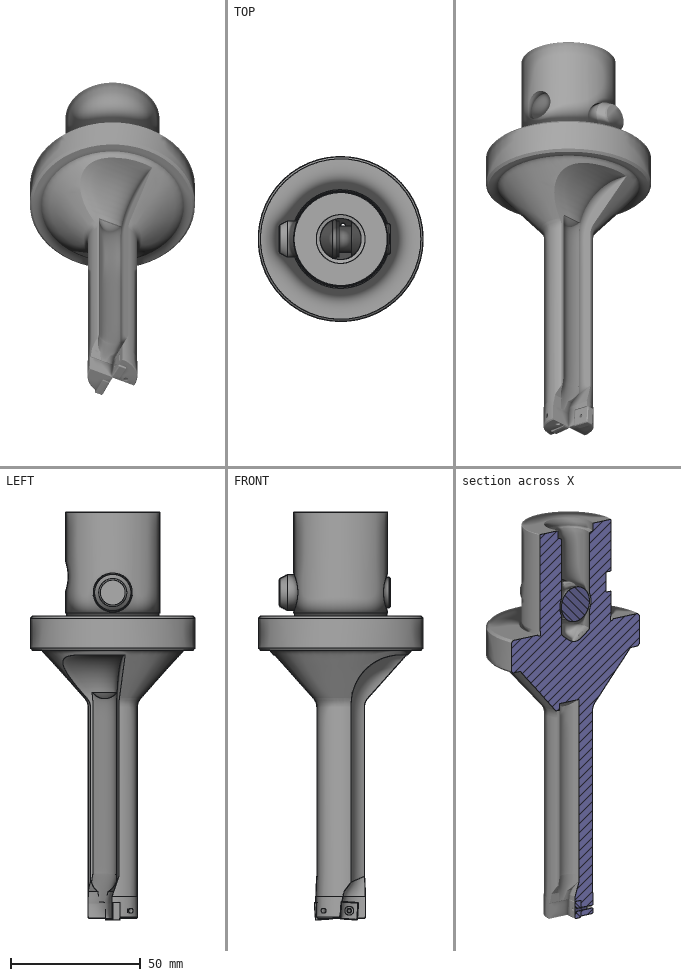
import cadquery as cq
import math

SHANK_RADIUS = 18.1
SHANK_HEIGHT = 40.0
SHANK_CHAMFER = 0.2
RELIEF_RADIUS = 17.8
RELIEF_HEIGHT = 1.2
FACE_GROOVE_RADIUS = 19.0
FACE_GROOVE_DEPTH = 0.5

FLANGE_RADIUS = 31.75
FLANGE_BOTTOM = -13.2
FLANGE_CHAMFER = 0.9

CONE_ANGLE = math.radians(42)
CONE_TOP_RADIUS = 27.4
STEM_RADIUS = 9.5
CONE_FILLET = 5.0

HEAD_RADIUS = 9.6
HEAD_TOP = -108.0
HEAD_BOTTOM = -116.3
HEAD_CHAMFER = 0.4

BORE_RADIUS = 7.9
BORE_MOUTH_RADIUS = 9.4
BORE_MOUTH_DEPTH = 3.1
BORE_STEP_HEIGHT = 0.5
BORE_DEPTH = 42.0
COOLANT_RADIUS = 0.9
COOLANT_X = 0.9
COOLANT_Y = 5.2

PIN_Z = 9.0
PIN_RADIUS = 7.0
CROSS_HOLE_RADIUS = 7.5
PIN_LEFT = -23.7
PIN_RIGHT = 19.1
PIN_TIP_RADIUS = 4.8
PIN_TIP_EDGE = 0.6
PIN_TAPER_LENGTH = 3.3
PIN_RIGHT_RADIUS = 5.9
PIN_RIGHT_STUB = 3.5
PIN_RIGHT_BEVEL = 0.5
PIN_NECK_RADIUS = 5.1
PIN_NECK_START = -0.6
PIN_NECK_END = 4.1
SEAL_CENTER_X = -2.3
SEAL_WIDTH = 1.6

RECESS_RADIUS = 5.7
RECESS_Z = 15.2
RECESS_DEPTH = 3.0

FLUTE_FLOOR_X = 4.03
FLUTE_WALL_Y = 1.6
FLUTE_WALL_SLOPE = 0.15
RUNOUT_RADIUS = 19.0
RUNOUT_CENTER_Z = -34.0
GROOVE_RADIUS = 5.6
GROOVE_X = 7.3
GROOVE_Y = -3.1
GROOVE_TOP = -29.5
WALL_RAMP_TOP = -100.0
GROOVE_BEND_Z = -99.5
GROOVE_DRIFT_Y = -1.0
CHIP_RAMP_TOP = -102.4
CHIP_RAMP_BOTTOM = -106.0
CHIP_FLOOR_X = 1.3
POINT_FLOOR_TOP = -110.7
POINT_FLOOR_X = 0.45
REACH = 60.0

INSERT_SIZE = 6.8
INSERT_THICKNESS = 3.0
INSERT_CORNER = 0.4
INSERT_BEVEL = 0.3
INSERT_TURN = 4.0
INSERT_FACE_Y = -0.3
INNER_INSERT_X = 3.3
OUTER_INSERT_X = 6.55
INSERT_Z = -113.4
SCREW_RADIUS = 0.95
SCREW_HEAD_RADIUS = 1.7
SCREW_HEAD_HEIGHT = 0.9
SCREW_LENGTH = 6.0
SOCKET_RADIUS = 0.8
SOCKET_DEPTH = 0.6


def half_turn(shape):
    return shape.rotate((0, 0, 0), (0, 0, 1), 180)


def holder_blank():
    """Turned outline: shank, neck, flange, cone, stem and head."""
    arc_rise = CONE_FILLET * (1 - math.cos(CONE_ANGLE))
    arc_drop = CONE_FILLET * math.sin(CONE_ANGLE)
    cone_end_radius = STEM_RADIUS + arc_rise
    cone_end_z = FLANGE_BOTTOM - (CONE_TOP_RADIUS - cone_end_radius) / math.tan(CONE_ANGLE)
    half_angle = CONE_ANGLE / 2
    arc_mid = (
        STEM_RADIUS + CONE_FILLET * (1 - math.cos(half_angle)),
        cone_end_z - arc_drop + CONE_FILLET * math.sin(half_angle),
    )
    return (
        cq.Workplane("XZ")
        .moveTo(0, SHANK_HEIGHT)
        .lineTo(SHANK_RADIUS - SHANK_CHAMFER, SHANK_HEIGHT)
        .lineTo(SHANK_RADIUS, SHANK_HEIGHT - SHANK_CHAMFER)
        .lineTo(SHANK_RADIUS, RELIEF_HEIGHT)
        .lineTo(RELIEF_RADIUS, RELIEF_HEIGHT)
        .lineTo(RELIEF_RADIUS, -FACE_GROOVE_DEPTH)
        .lineTo(FACE_GROOVE_RADIUS - FACE_GROOVE_DEPTH, -FACE_GROOVE_DEPTH)
        .lineTo(FACE_GROOVE_RADIUS, 0)
        .lineTo(FLANGE_RADIUS - FLANGE_CHAMFER, 0)
        .lineTo(FLANGE_RADIUS, -FLANGE_CHAMFER)
        .lineTo(FLANGE_RADIUS, FLANGE_BOTTOM + FLANGE_CHAMFER)
        .lineTo(FLANGE_RADIUS - FLANGE_CHAMFER, FLANGE_BOTTOM)
        .lineTo(CONE_TOP_RADIUS, FLANGE_BOTTOM)
        .lineTo(cone_end_radius, cone_end_z)
        .threePointArc(arc_mid, (STEM_RADIUS, cone_end_z - arc_drop))
        .lineTo(STEM_RADIUS, HEAD_TOP)
        .lineTo(HEAD_RADIUS, HEAD_TOP)
        .lineTo(HEAD_RADIUS, HEAD_BOTTOM + HEAD_CHAMFER)
        .lineTo(HEAD_RADIUS - HEAD_CHAMFER, HEAD_BOTTOM)
        .lineTo(0, HEAD_BOTTOM)
        .close()
        .revolve(360, (0, 0, 0), (0, 1, 0))
    )


def bore():
    """Stepped bore from the top with a conical bottom."""
    mouth_z = SHANK_HEIGHT - BORE_MOUTH_DEPTH
    bottom_z = SHANK_HEIGHT - BORE_DEPTH
    return (
        cq.Workplane("XZ")
        .moveTo(0, SHANK_HEIGHT)
        .lineTo(BORE_MOUTH_RADIUS, SHANK_HEIGHT)
        .lineTo(BORE_MOUTH_RADIUS, mouth_z)
        .lineTo(BORE_RADIUS, mouth_z - BORE_STEP_HEIGHT)
        .lineTo(BORE_RADIUS, bottom_z)
        .lineTo(0, bottom_z - BORE_RADIUS)
        .close()
        .revolve(360, (0, 0, 0), (0, 1, 0))
    )


def coolant_hole():
    """Straight hole from the bore to the drill face."""
    return (
        cq.Workplane("XY")
        .workplane(offset=HEAD_BOTTOM)
        .center(COOLANT_X, COOLANT_Y)
        .circle(COOLANT_RADIUS)
        .extrude(-HEAD_BOTTOM)
    )


def cross_hole():
    return (
        cq.Workplane("YZ")
        .center(0, PIN_Z)
        .circle(CROSS_HOLE_RADIUS)
        .extrude(SHANK_RADIUS, both=True)
    )


def locating_recess():
    return (
        cq.Workplane("XZ", origin=(0, SHANK_RADIUS, RECESS_Z))
        .circle(RECESS_RADIUS)
        .extrude(RECESS_DEPTH)
    )


def flute():
    """Straight flute on the +X side with its run-out through the cone."""
    center_x = FLUTE_FLOOR_X + RUNOUT_RADIUS
    arc_offset = RUNOUT_RADIUS * math.sqrt(0.5)
    runout_top = RUNOUT_CENTER_Z + RUNOUT_RADIUS
    side_profile = (
        cq.Workplane("XZ")
        .moveTo(FLUTE_FLOOR_X, RUNOUT_CENTER_Z)
        .threePointArc(
            (center_x - arc_offset, RUNOUT_CENTER_Z + arc_offset),
            (center_x, runout_top),
        )
        .lineTo(REACH, runout_top)
        .lineTo(REACH, 2 * HEAD_BOTTOM)
        .lineTo(POINT_FLOOR_X, 2 * HEAD_BOTTOM)
        .lineTo(POINT_FLOOR_X, POINT_FLOOR_TOP)
        .lineTo(CHIP_FLOOR_X, CHIP_RAMP_BOTTOM)
        .lineTo(FLUTE_FLOOR_X, CHIP_RAMP_TOP)
        .close()
        .extrude(REACH, both=True)
    )

    bend = (GROOVE_X, GROOVE_Y, GROOVE_BEND_Z)
    straight_groove = (
        cq.Workplane("XY", origin=bend)
        .circle(GROOVE_RADIUS)
        .extrude(GROOVE_TOP - GROOVE_BEND_Z)
    )
    groove_floor_x = GROOVE_X - GROOVE_RADIUS
    tilt = cq.Vector(
        POINT_FLOOR_X - groove_floor_x,
        GROOVE_DRIFT_Y,
        POINT_FLOOR_TOP - GROOVE_BEND_Z,
    )
    tilted_groove = cq.Workplane(
        cq.Solid.makeCylinder(GROOVE_RADIUS, tilt.Length, cq.Vector(*bend), tilt)
    )
    above_groove = (
        cq.Workplane("XZ")
        .moveTo(FLUTE_FLOOR_X, GROOVE_TOP)
        .lineTo(FLUTE_FLOOR_X - REACH, GROOVE_TOP - REACH)
        .lineTo(FLUTE_FLOOR_X - REACH, GROOVE_TOP)
        .close()
        .extrude(REACH, both=True)
    )
    straight_groove = straight_groove.cut(above_groove)
    groove = straight_groove.union(tilted_groove)

    leaning_wall = (
        cq.Workplane("XY", origin=(FLUTE_FLOOR_X, FLUTE_WALL_Y, 2 * HEAD_BOTTOM))
        .moveTo(-REACH, -2 * REACH)
        .lineTo(-REACH, 0)
        .lineTo(0, 0)
        .lineTo(REACH, REACH * FLUTE_WALL_SLOPE)
        .lineTo(REACH, -2 * REACH)
        .close()
        .extrude(-2 * HEAD_BOTTOM)
    )
    outer_wall_y = FLUTE_WALL_Y + FLUTE_WALL_SLOPE * (STEM_RADIUS - FLUTE_FLOOR_X)
    ramped_wall = (
        cq.Workplane("YZ")
        .moveTo(-REACH, 0)
        .lineTo(REACH, 0)
        .lineTo(REACH, WALL_RAMP_TOP)
        .lineTo(outer_wall_y, WALL_RAMP_TOP)
        .lineTo(INSERT_FACE_Y, HEAD_TOP)
        .lineTo(INSERT_FACE_Y, 2 * HEAD_BOTTOM)
        .lineTo(-REACH, 2 * HEAD_BOTTOM)
        .close()
        .extrude(REACH, both=True)
    )
    return side_profile.union(groove).intersect(leaning_wall).intersect(ramped_wall)


def insert_block(x, depth):
    """Rounded square standing on the insert's cutting plane; +depth goes to +Y."""
    return (
        cq.Workplane("XZ", origin=(x, INSERT_FACE_Y, INSERT_Z))
        .transformed(rotate=(0, 0, -INSERT_TURN))
        .rect(INSERT_SIZE, INSERT_SIZE)
        .extrude(-depth)
        .edges("|Y")
        .fillet(INSERT_CORNER)
    )


def screw_blank(x):
    """Countersunk screw along +Y whose head is flush with the insert face."""
    return (
        cq.Workplane("XY")
        .moveTo(0, 0)
        .lineTo(SCREW_HEAD_RADIUS, 0)
        .lineTo(SCREW_RADIUS, SCREW_HEAD_HEIGHT)
        .lineTo(SCREW_RADIUS, SCREW_LENGTH)
        .lineTo(0, SCREW_LENGTH)
        .close()
        .revolve(360, (0, 0, 0), (0, 1, 0))
        .translate((x, INSERT_FACE_Y, INSERT_Z))
    )


def make_screw(x):
    socket = (
        cq.Workplane("XZ", origin=(x, INSERT_FACE_Y, INSERT_Z))
        .polygon(6, 2 * SOCKET_RADIUS)
        .extrude(-SOCKET_DEPTH)
    )
    return screw_blank(x).cut(socket)


def make_insert(x):
    block = insert_block(x, INSERT_THICKNESS).faces("<Y").chamfer(INSERT_BEVEL)
    return block.cut(screw_blank(x))


def insert_seat(x):
    """Room for the insert, the open space in front of it and the screw hole behind it."""
    screw_hole = (
        cq.Workplane("XZ", origin=(x, INSERT_FACE_Y, INSERT_Z))
        .circle(SCREW_RADIUS)
        .extrude(-HEAD_RADIUS)
    )
    return insert_block(x, INSERT_THICKNESS).union(insert_block(x, -HEAD_RADIUS)).union(screw_hole)


def make_pin():
    """Clamping pin along X, turned, with a seal groove and a narrow neck."""
    seal_left = SEAL_CENTER_X - SEAL_WIDTH / 2
    seal_right = SEAL_CENTER_X + SEAL_WIDTH / 2
    groove_radius = CROSS_HOLE_RADIUS - SEAL_WIDTH
    edge_radius = PIN_TIP_RADIUS + PIN_TIP_EDGE
    stub_start = PIN_RIGHT - PIN_RIGHT_STUB
    return (
        cq.Workplane("XY")
        .moveTo(PIN_LEFT, 0)
        .lineTo(PIN_LEFT, PIN_TIP_RADIUS)
        .lineTo(PIN_LEFT + PIN_TIP_EDGE / 2, edge_radius)
        .lineTo(PIN_LEFT + PIN_TAPER_LENGTH, PIN_RADIUS)
        .lineTo(seal_left, PIN_RADIUS)
        .lineTo(seal_left, groove_radius)
        .lineTo(seal_right, groove_radius)
        .lineTo(seal_right, PIN_RADIUS)
        .lineTo(PIN_NECK_START, PIN_RADIUS)
        .lineTo(PIN_NECK_START, PIN_NECK_RADIUS)
        .lineTo(PIN_NECK_END, PIN_NECK_RADIUS)
        .lineTo(PIN_NECK_END, PIN_RADIUS)
        .lineTo(stub_start, PIN_RADIUS)
        .lineTo(stub_start, PIN_RIGHT_RADIUS)
        .lineTo(PIN_RIGHT - PIN_RIGHT_BEVEL, PIN_RIGHT_RADIUS)
        .lineTo(PIN_RIGHT, PIN_RIGHT_RADIUS - PIN_RIGHT_BEVEL)
        .lineTo(PIN_RIGHT, 0)
        .close()
        .revolve(360, (0, 0, 0), (1, 0, 0))
        .translate((0, 0, PIN_Z))
    )


def make_seal_ring():
    """Round ring in the pin's groove."""
    ring_center = CROSS_HOLE_RADIUS - SEAL_WIDTH / 2
    return (
        cq.Workplane("XY")
        .center(SEAL_CENTER_X, ring_center)
        .circle(SEAL_WIDTH / 2)
        .revolve(360, (-SEAL_CENTER_X, -ring_center, 0), (1 - SEAL_CENTER_X, -ring_center, 0))
        .translate((0, 0, PIN_Z))
    )


holder = (
    holder_blank()
    .cut(bore())
    .cut(coolant_hole())
    .cut(cross_hole())
    .cut(locating_recess())
    .cut(flute())
    .cut(half_turn(flute()))
    .cut(insert_seat(INNER_INSERT_X))
    .cut(half_turn(insert_seat(OUTER_INSERT_X)))
)

inserts = [make_insert(INNER_INSERT_X), half_turn(make_insert(OUTER_INSERT_X))]
screws = [make_screw(INNER_INSERT_X), half_turn(make_screw(OUTER_INSERT_X))]

pin = make_pin()
seal_ring = make_seal_ring()

result = cq.Compound.makeCompound(
    [holder.val(), pin.val(), seal_ring.val()] + [body.val() for body in inserts + screws]
)